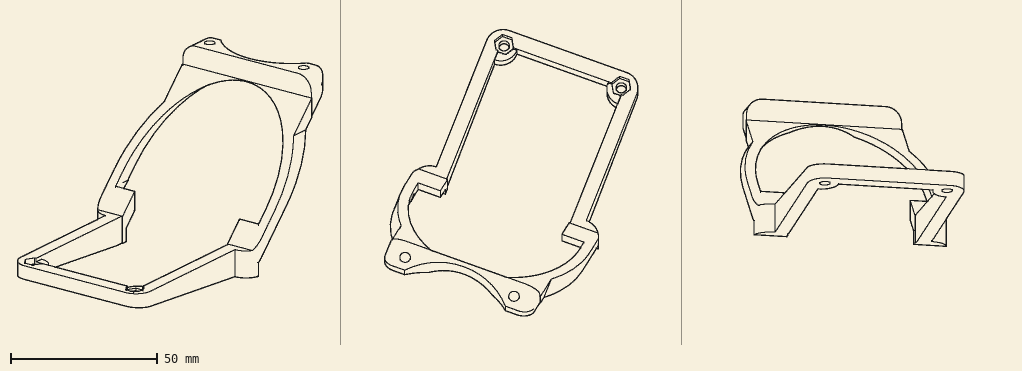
import cadquery as cq
import math

length = 109.5
height = 59.5
ring_outer_radius = 34.0

frame_half_width = 27.5
frame_inner_half_width = 22.6
frame_top = 10.0
front_bar_width = 5.4
front_bar_height = 5.0
frame_corner_radius = 6.0

ear_front = 55.0
ear_radius = ring_outer_radius - frame_half_width
foot_back = 60.0
plate_start = 57.8
ledge_half_gap = 22.2
ledge_top = 17.0

plate_thickness = 5.0
plate_rise = frame_top - plate_start
plate_underside_rise = plate_rise - plate_thickness * math.sqrt(2)
ring_inner_radius = 30.3
ring_center_z = 21.1

tab_front = 99.5
tab_half_width = 27.3
tab_top_radius = 5.7
tab_rear_radius = 4.7
tab_scallop_radius = 24.5
tab_scallop_front = 101.2

screw_diameter = 3.6
tab_hole_x = 19.9
tab_hole_y = 105.1
frame_hole_x = 21.5
frame_hole_y = 5.1
boss_radius = 5.9
boss_drop = 1.3
nut_across_corners = 6.9
nut_depth = 2.2


def side_solid():
    """Bent strip with its profile in YZ, as wide as the whole part."""
    outline = [
        (0, frame_top),
        (plate_start, frame_top),
        (tab_front, tab_front + plate_rise),
        (tab_front, height),
        (length, height),
        (length, length + plate_underside_rise),
        (foot_back, foot_back + plate_underside_rise),
        (foot_back, 0),
        (ear_front, 0),
        (0, frame_top - front_bar_height),
    ]
    return cq.Workplane("YZ").polyline(outline).close().extrude(ring_outer_radius, both=True)


def plan_block(half_width, y_start, y_end):
    """Full-height block centred on X between two Y positions."""
    return (
        cq.Workplane("XY")
        .center(0, (y_start + y_end) / 2)
        .rect(2 * half_width, y_end - y_start)
        .extrude(height)
    )


def plan_solid():
    """Outer shape in XY: frame, eared middle and tab."""
    frame = plan_block(frame_half_width, 0, plate_start)
    frame = frame.edges("|Z and <Y").fillet(frame_corner_radius)
    middle = plan_block(ring_outer_radius, ear_front, tab_front)
    middle = middle.edges("|Z and <Y").fillet(ear_radius)
    tab = plan_block(tab_half_width, tab_front, length)
    tab = tab.edges("|Z and >Y").fillet(tab_rear_radius)
    return frame.union(middle).union(tab)


def round_topped(half_width, center_z, bottom):
    """Block along Y with straight sides and a semicircular top."""
    return (
        cq.Workplane("XZ")
        .moveTo(-half_width, bottom)
        .lineTo(-half_width, center_z)
        .threePointArc((0, center_z + half_width), (half_width, center_z))
        .lineTo(half_width, bottom)
        .close()
        .extrude(-length)
    )


def front_solid():
    """Outer shape in XZ: round ring below a narrower upright plate and tab."""
    ring = round_topped(ring_outer_radius, ring_center_z, 0)
    ring = ring.intersect(plan_block(ring_outer_radius, 0, tab_front))
    plate = plan_block(frame_half_width, 0, tab_front)
    tab = plan_block(tab_half_width, tab_front, length)
    tab = tab.edges("|Y and >Z").fillet(tab_top_radius)
    return ring.union(plate).union(tab)


def ring_opening():
    """Ring opening, cut along Y and also along Z so it is a clear circle in both directions."""
    along_y = round_topped(ring_inner_radius, ring_center_z, ledge_top)
    along_y = along_y.intersect(plan_block(ring_outer_radius, plate_start, length))
    center_y = ring_center_z - plate_rise
    along_z = (
        cq.Workplane("XY")
        .moveTo(-ring_inner_radius, ledge_top - plate_rise)
        .lineTo(-ring_inner_radius, center_y)
        .threePointArc((0, center_y + ring_inner_radius), (ring_inner_radius, center_y))
        .lineTo(ring_inner_radius, ledge_top - plate_rise)
        .close()
        .extrude(height)
    )
    return along_y.union(along_z)


def vertical_cylinders(x, y, radius):
    """Mirrored pair of full-height cylinders."""
    return cq.Workplane("XY").pushPoints([(-x, y), (x, y)]).circle(radius).extrude(height)


def frame_opening():
    """Window in the frame, leaving lowered round bosses around the front screws."""
    window = plan_block(frame_inner_half_width, front_bar_width, plate_start)
    bosses = vertical_cylinders(frame_inner_half_width, front_bar_width, boss_radius)
    boss_tops = cq.Workplane("XY").box(length, length, frame_top - boss_drop, centered=(True, True, False))
    window = window.cut(bosses.intersect(boss_tops))
    gap = plan_block(ledge_half_gap, plate_start, ledge_top - plate_rise)
    return window.union(gap)


def tab_scallop():
    """Concave round cut in the rear edge of the tab."""
    return (
        cq.Workplane("XY")
        .center(0, tab_scallop_front + tab_scallop_radius)
        .circle(tab_scallop_radius)
        .extrude(height)
    )


def nut_pockets():
    """Hexagonal pockets in the frame top, with corners pointing along X."""
    return (
        cq.Workplane("XY", origin=(0, 0, frame_top - nut_depth))
        .pushPoints([(-frame_hole_x, frame_hole_y), (frame_hole_x, frame_hole_y)])
        .polygon(6, nut_across_corners)
        .extrude(nut_depth)
    )


result = side_solid().intersect(plan_solid()).intersect(front_solid())
result = result.cut(frame_opening()).cut(ring_opening()).cut(tab_scallop())
result = result.cut(vertical_cylinders(tab_hole_x, tab_hole_y, screw_diameter / 2))
result = result.cut(vertical_cylinders(frame_hole_x, frame_hole_y, screw_diameter / 2))
result = result.cut(nut_pockets())